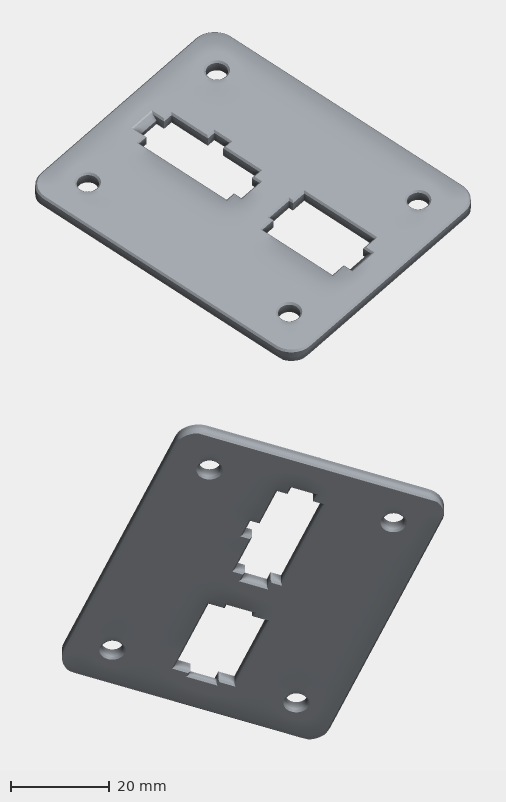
import cadquery as cq
import math

length = 71.75
width = 58.0
thickness = 3.0
corner_radius = 5.0
edge_chamfer = 0.4

hole_diameter = 4.5
hole_inset = 9.0

keyed_center_x = -14.4
keyed_body_length = 23.4
keyed_body_width = 10.1
keyed_tab_reach = 2.0
keyed_tab_width = 5.5
key_length = 4.0
key_height = 2.0

plain_center_x = 17.45
plain_body_length = 18.75
plain_body_width = 13.0
plain_tab_reach = 1.05
plain_tab_width = 6.0

ramp_angle = math.radians(45)
ramp_run = 1.475
ramp_rise = ramp_run * math.tan(ramp_angle)


def make_plate():
    """Rounded plate resting on Z = 0, with chamfered outer edges.

    The bottom chamfer follows the straight sides only and fades out where the corners curve away.
    """
    block = cq.Workplane("XY").box(length, width, thickness, centered=(True, True, False))
    block = block.faces("<Z").chamfer(edge_chamfer)
    rounded = cq.Workplane("XY").box(length, width, thickness, centered=(True, True, False))
    rounded = rounded.edges("|Z").fillet(corner_radius).faces(">Z").chamfer(edge_chamfer)
    return block.intersect(rounded)


def flared_cutter(draw_profile):
    """Through cutter that widens at both plate faces to leave chamfered rims.

    draw_profile(plane, growth) draws the outline, grown outward by growth.
    """
    cutter = draw_profile(cq.Workplane("XY"), 0).extrude(thickness)
    for face_z, depth in ((thickness, -edge_chamfer), (0, edge_chamfer)):
        wide_end = draw_profile(cq.Workplane("XY", origin=(0, 0, face_z)), edge_chamfer)
        rim = draw_profile(wide_end.workplane(offset=depth), 0).loft(ruled=True)
        cutter = cutter.union(rim)
    return cutter


def flared_block(x_min, x_max, y_min, y_max):
    """Rectangular through cutter with chamfered rims."""

    def draw_rectangle(plane, growth):
        return plane.rect(x_max - x_min + 2 * growth, y_max - y_min + 2 * growth)

    return flared_cutter(draw_rectangle).translate(((x_min + x_max) / 2, (y_min + y_max) / 2, 0))


def ramp_cutter(inner_x, wall_x, tab_width, side):
    """Ramp that rises outward from a tab wall to the top face, its top edge broken by a chamfer."""
    outer_x = wall_x + side * ramp_run
    ramp_base_z = thickness - ramp_rise
    setback = edge_chamfer * math.tan(ramp_angle / 2)
    profile = [
        (inner_x, thickness),
        (inner_x, ramp_base_z),
        (wall_x, ramp_base_z),
        (outer_x - side * setback * math.cos(ramp_angle), thickness - setback * math.sin(ramp_angle)),
        (outer_x + side * setback, thickness),
    ]
    wedge = cq.Workplane("XZ").polyline(profile).close().extrude(tab_width, both=True)
    x_min, x_max = sorted((inner_x, outer_x))
    slot = flared_block(x_min, x_max, -tab_width / 2, tab_width / 2)
    return slot.intersect(wedge)


def opening(center_x, body_length, body_width, tab_reach, tab_width, ramp_side):
    """Rectangular opening with a tab on each end; ramp_side is the X sign of the ramped tab."""
    half_body = body_length / 2
    half_tabs = half_body + tab_reach
    body = flared_block(center_x - half_body, center_x + half_body, -body_width / 2, body_width / 2)
    tabs = flared_block(center_x - half_tabs, center_x + half_tabs, -tab_width / 2, tab_width / 2)
    ramp = ramp_cutter(center_x, center_x + ramp_side * half_tabs, tab_width, ramp_side)
    return body.union(tabs).union(ramp)


def keyed_opening():
    """Opening on the -X side, with a key notch in the middle of its +Y edge."""
    cutter = opening(
        keyed_center_x, keyed_body_length, keyed_body_width, keyed_tab_reach, keyed_tab_width, ramp_side=-1
    )
    key_notch = flared_block(
        keyed_center_x - key_length / 2,
        keyed_center_x + key_length / 2,
        0,
        keyed_body_width / 2 + key_height,
    )
    return cutter.union(key_notch)


def plain_opening():
    """Opening on the +X side."""
    return opening(
        plain_center_x, plain_body_length, plain_body_width, plain_tab_reach, plain_tab_width, ramp_side=1
    )


def screw_holes():
    """Four through holes, one near each corner, with chamfered rims."""
    hole = flared_cutter(lambda plane, growth: plane.circle(hole_diameter / 2 + growth)).val()
    corners = cq.Workplane("XY").rect(length - 2 * hole_inset, width - 2 * hole_inset, forConstruction=True)
    return corners.vertices().eachpoint(lambda place: hole.moved(place))


result = make_plate().cut(screw_holes()).cut(keyed_opening()).cut(plain_opening())